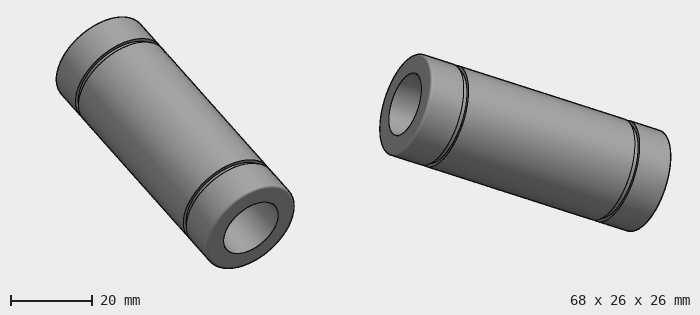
import cadquery as cq

length = 68.0
outer_diameter = 26.0
bore_diameter = 16.0
groove_diameter = 24.35
groove_width = 1.35
groove_span = 49.8
edge_size = 0.7


def cylinder_along_x(diameter, start, size):
    """Solid cylinder on the X axis, beginning at x = start."""
    return cq.Workplane("YZ", origin=(start, 0, 0)).circle(diameter / 2).extrude(size)


sleeve = cylinder_along_x(outer_diameter, -length / 2, length)
sleeve = sleeve.faces("<X or >X").edges().fillet(edge_size)

for groove_start in (-groove_span / 2, groove_span / 2 - groove_width):
    ring = cylinder_along_x(outer_diameter, groove_start, groove_width)
    core = cylinder_along_x(groove_diameter, groove_start, groove_width)
    sleeve = sleeve.cut(ring.cut(core))

result = sleeve.cut(cylinder_along_x(bore_diameter, -length / 2, length))